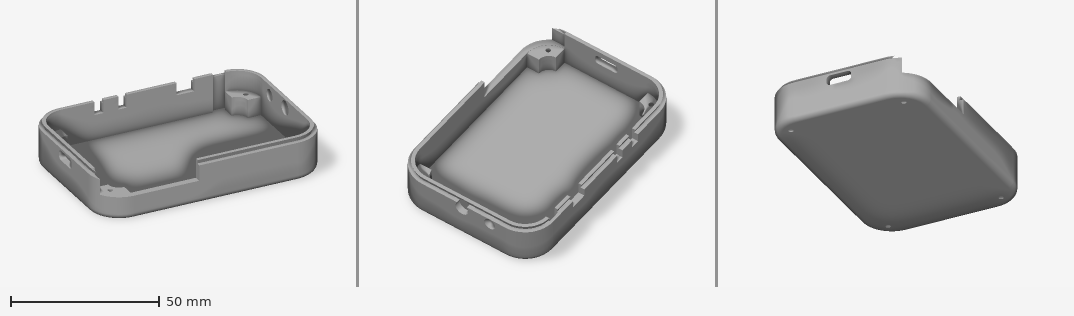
import cadquery as cq

WIDTH = 57.6
LENGTH = 85.1
HEIGHT = 16.0
CORNER_RADIUS = 11.5
WALL = 2.5
FLOOR = 1.7
BOTTOM_FILLET = 2.0

LIP_HEIGHT = 1.5
LIP_TOP_INSET = 1.1
LIP_FOOT_INSET = 1.6
LEDGE_Z = HEIGHT - LIP_HEIGHT

POST_TOP_Z = 8.6
POST_RELIEF_RADIUS = 4.1
POST_HOLE_DIAMETER = 1.9
POST_HOLE_SPACING_X = 42.7
POST_HOLE_SPACING_Y = 72.8

SIDE_NOTCHES = [
    (12.8, 19.4, 11.4),
    (-9.3, -6.1, 11.1),
    (-18.3, -14.9, 11.1),
]

RECESS_Y_MIN = 26.55
RECESS_Y_MAX = 31.5
RECESS_SKIN = 1.1

CUTAWAY_Z = 8.7
CUTAWAY_Y_MAX = -6.5
CUTAWAY_SKIN = 1.5

SLOT_WIDTH = 9.4
SLOT_HEIGHT = 3.7
SLOT_CENTER_Z = 11.8
SLOT_CENTER_X = -0.1
SLOT_CORNER_RADIUS = 1.4

BACK_HOLES = [
    (0.7, 12.7, 5.4),
    (-10.9, 12.2, 4.4),
]

HALF_WIDTH = WIDTH / 2
HALF_LENGTH = LENGTH / 2
CORNER_X = HALF_WIDTH - CORNER_RADIUS
CORNER_Y = HALF_LENGTH - CORNER_RADIUS


def box_between(x_min, x_max, y_min, y_max, z_min, z_max):
    size = (x_max - x_min, y_max - y_min, z_max - z_min)
    return cq.Workplane("XY").box(*size, centered=False).translate((x_min, y_min, z_min))


def rounded_outline(inset):
    """Rounded rectangle offset inward from the outer wall."""
    outline = cq.Sketch().rect(WIDTH - 2 * inset, LENGTH - 2 * inset)
    return outline.vertices().fillet(CORNER_RADIUS - inset)


def rounded_block(inset, z_min, z_max):
    base = cq.Workplane("XY").workplane(offset=z_min)
    return base.placeSketch(rounded_outline(inset)).extrude(z_max - z_min)


def make_body():
    return rounded_block(0, 0, LEDGE_Z).faces("<Z").edges().fillet(BOTTOM_FILLET)


def make_lip():
    foot = rounded_outline(LIP_FOOT_INSET)
    top = rounded_outline(LIP_TOP_INSET).moved(cq.Location(cq.Vector(0, 0, LIP_HEIGHT)))
    return cq.Workplane("XY").workplane(offset=LEDGE_Z).placeSketch(foot, top).loft()


def make_cavity():
    return rounded_block(WALL, FLOOR, HEIGHT)


def make_posts():
    """Fill the cavity corners, relieved by a cylinder around each corner centre."""
    posts = rounded_block(WALL, FLOOR, POST_TOP_Z)
    posts = posts.cut(box_between(-CORNER_X, CORNER_X, -HALF_LENGTH, HALF_LENGTH, 0, HEIGHT))
    posts = posts.cut(box_between(-HALF_WIDTH, HALF_WIDTH, -CORNER_Y, CORNER_Y, 0, HEIGHT))
    relief = (
        cq.Workplane("XY")
        .rect(2 * CORNER_X, 2 * CORNER_Y, forConstruction=True)
        .vertices()
        .circle(POST_RELIEF_RADIUS)
        .extrude(HEIGHT)
    )
    return posts.cut(relief)


def make_screw_holes():
    return (
        cq.Workplane("XY")
        .rect(POST_HOLE_SPACING_X, POST_HOLE_SPACING_Y, forConstruction=True)
        .vertices()
        .circle(POST_HOLE_DIAMETER / 2)
        .extrude(HEIGHT)
    )


def make_recess():
    return box_between(
        -HALF_WIDTH + RECESS_SKIN, -HALF_WIDTH + WALL, RECESS_Y_MIN, RECESS_Y_MAX, FLOOR, HEIGHT
    )


def make_cutaway():
    return box_between(
        CORNER_X, HALF_WIDTH, -HALF_LENGTH + CUTAWAY_SKIN, CUTAWAY_Y_MAX, CUTAWAY_Z, HEIGHT
    )


def make_front_slot():
    return (
        cq.Workplane("XY")
        .box(SLOT_WIDTH, WALL, SLOT_HEIGHT)
        .edges("|Y")
        .fillet(SLOT_CORNER_RADIUS)
        .translate((SLOT_CENTER_X, -HALF_LENGTH + WALL / 2, SLOT_CENTER_Z))
    )


def make_back_hole(x, z, diameter):
    wall_plane = cq.Workplane("XZ", origin=(x, HALF_LENGTH, z))
    return wall_plane.circle(diameter / 2).extrude(WALL)


result = make_body().union(make_lip()).cut(make_cavity()).union(make_posts())
result = result.cut(make_screw_holes())
result = result.cut(make_recess()).cut(make_cutaway()).cut(make_front_slot())
for y_min, y_max, floor_z in SIDE_NOTCHES:
    notch = box_between(-HALF_WIDTH, -HALF_WIDTH + WALL, y_min, y_max, floor_z, HEIGHT)
    result = result.cut(notch)
for hole_x, hole_z, hole_diameter in BACK_HOLES:
    result = result.cut(make_back_hole(hole_x, hole_z, hole_diameter))